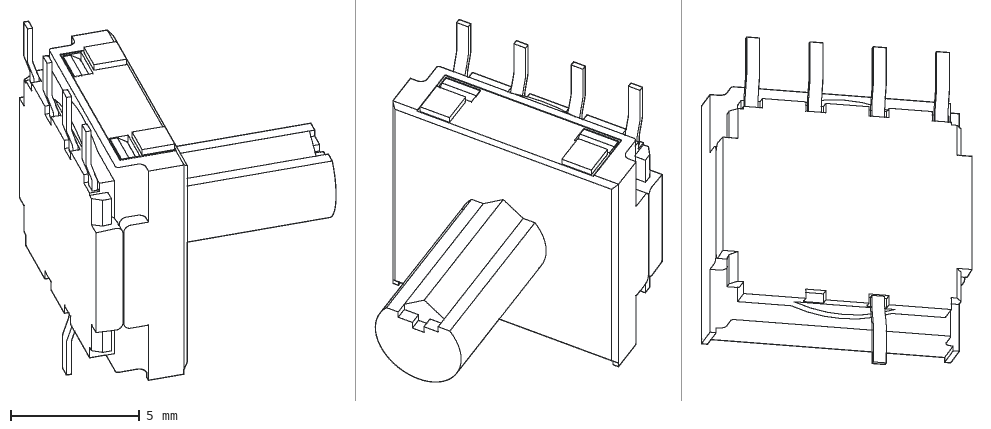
import cadquery as cq


HOUSING_HALF_X = 5.005
HOUSING_HALF_Z = 4.8
HOUSING_REAR_Y = 1.01
HOUSING_FRONT_Y = 3.8
FRONT_CHAMFER = 0.2
CHAMFER_START_Y = HOUSING_FRONT_Y - FRONT_CHAMFER
NECK_HALF_X = 4.41
NOTCH_FRONT_Y = 2.145
NOTCH_RADIUS = 0.28
REAR_EDGE_RADIUS = 0.12
EAR_WIDTH = 0.25
EAR_END_Z = 5.0

WING_RADIUS = 0.28
HOUSING_WING_HALF_Z = 2.41
HOUSING_WING_REAR_Y = 1.14
BASE_WING_FRONT_Y = 1.10
BASE_WING_HALF_Z = 2.38
BASE_WING_REAR_HALF_Z = 2.335

PANEL_HALF_X = 3.91
PANEL_REAR_Y = 1.33
PANEL_DEPTH = 0.035
PANEL_Z = HOUSING_HALF_Z - PANEL_DEPTH
TAB_INNER_X = 2.49
TAB_OUTER_X = 3.80
TAB_REAR_Y = 2.265
TAB_TOP_Z = 5.02
WINDOW_INNER_X = 2.29
WINDOW_OUTER_X = 3.83
WINDOW_REAR_Y = 1.41
WINDOW_RAMP_Y = 1.73
WINDOW_RAMP_END_Y = 2.125
WINDOW_FRONT_Y = 2.165
WINDOW_SILL_DEPTH = 0.04
WINDOW_RAMP_DROP = 0.26
WINDOW_GAP_DEPTH = 0.1

SHAFT_DIAMETER = 3.81
SHAFT_RADIUS = SHAFT_DIAMETER / 2
SHAFT_LENGTH = 7.0
SHAFT_END_Y = HOUSING_FRONT_Y + SHAFT_LENGTH
SHAFT_FLAT_Z = 1.288
KEY_HALF_X = 0.885
KEY_SETBACK = 0.5
KEY_END_Y = SHAFT_END_Y - KEY_SETBACK
END_GROOVE_DEPTH = 0.28
END_SLOT_HALF_X = 0.255
END_SLOT_DEPTH = 0.3

BASE_HALF_X = 4.17
BASE_HALF_Z = 4.05
POST_HALF_X = 4.655
POST_HALF_Z = 3.56
POST_FRONT_Y = 0.745
POST_CHAMFER_X = 0.255
POST_CHAMFER_Y = 0.38
DISC_HALF_CHORD = 2.02
DISC_RISE = 0.37
DISC_REAR_Y = 0.51

TERMINAL_PITCH = 2.54
TERMINAL_WIDTH = 0.52
TERMINAL_THICKNESS = 0.21
TERMINAL_END_Z = 6.5
TERMINAL_ROOT_Y = 0.14
TERMINAL_TIP_Y = -0.12
BEND_START_Z = 4.16
BEND_END_Z = 4.93
BEND_RADIUS = 0.5
POCKET_WIDTH = 0.8
POCKET_DEPTH_Y = 0.4
POCKET_FLOOR_Z = 3.67
TOP_TERMINALS_X = [(i - 1.5) * TERMINAL_PITCH for i in range(4)]
BOTTOM_TERMINAL_X = TERMINAL_PITCH / 2
BOTTOM_POCKETS_X = [-BOTTOM_TERMINAL_X, BOTTOM_TERMINAL_X]


def box(x0, x1, y0, y1, z0, z1):
    """Block between two opposite corners."""
    size = (x1 - x0, y1 - y0, z1 - z0)
    return cq.Workplane("XY").box(*size, centered=False).translate((x0, y0, z0))


def mirrored_x(body):
    """The body together with its mirror copy at -X."""
    return body.union(body.mirror("YZ"))


def wing_outline(plane, start_y, edge_y, edge_half_z, start_half_z):
    """Outline of a side wing that starts at start_y and has both corners at edge_y rounded."""
    inward = 1 if start_y > edge_y else -1
    tangent_y = edge_y + inward * WING_RADIUS
    flat_half_z = edge_half_z - WING_RADIUS
    radius = inward * WING_RADIUS
    return (
        plane.moveTo(start_y, -start_half_z)
        .lineTo(tangent_y, -edge_half_z)
        .radiusArc((edge_y, -flat_half_z), radius)
        .lineTo(edge_y, flat_half_z)
        .radiusArc((tangent_y, edge_half_z), radius)
        .lineTo(start_y, start_half_z)
        .close()
    )


def make_shaft():
    rod = (
        cq.Workplane("XZ", origin=(0, HOUSING_FRONT_Y, 0))
        .circle(SHAFT_RADIUS)
        .extrude(-SHAFT_LENGTH)
    )
    above_flat = box(
        -SHAFT_RADIUS, SHAFT_RADIUS, HOUSING_FRONT_Y, SHAFT_END_Y, SHAFT_FLAT_Z, SHAFT_DIAMETER
    )
    groove_z = SHAFT_FLAT_Z - END_GROOVE_DEPTH
    end_groove = box(-KEY_HALF_X, KEY_HALF_X, KEY_END_Y, SHAFT_END_Y, groove_z, SHAFT_DIAMETER)
    end_slot = box(
        -END_SLOT_HALF_X, END_SLOT_HALF_X, KEY_END_Y, SHAFT_END_Y, groove_z - END_SLOT_DEPTH, groove_z
    )
    key = (
        cq.Workplane("XZ", origin=(0, HOUSING_FRONT_Y, 0))
        .polyline([(-KEY_HALF_X, SHAFT_FLAT_Z), (KEY_HALF_X, SHAFT_FLAT_Z), (0, SHAFT_RADIUS)])
        .close()
        .extrude(HOUSING_FRONT_Y - KEY_END_Y)
    )
    return rod.cut(above_flat).cut(end_groove).cut(end_slot).union(key)


def housing_core():
    """Chamfered plate with notched, rounded rear corners."""
    plate = box(
        -HOUSING_HALF_X, HOUSING_HALF_X, NOTCH_FRONT_Y, HOUSING_FRONT_Y, -HOUSING_HALF_Z, HOUSING_HALF_Z
    )
    neck = box(
        -NECK_HALF_X, NECK_HALF_X, HOUSING_REAR_Y, NOTCH_FRONT_Y, -HOUSING_HALF_Z, HOUSING_HALF_Z
    )
    notch_corner = cq.selectors.BoxSelector(
        (-NECK_HALF_X - REAR_EDGE_RADIUS, NOTCH_FRONT_Y - REAR_EDGE_RADIUS, -HOUSING_HALF_Z),
        (NECK_HALF_X + REAR_EDGE_RADIUS, NOTCH_FRONT_Y + REAR_EDGE_RADIUS, HOUSING_HALF_Z),
    )
    core = plate.faces(">Y").chamfer(FRONT_CHAMFER).union(neck)
    core = core.edges("|Z").edges(notch_corner).fillet(NOTCH_RADIUS)
    return core.faces("<Y").edges("|Z").fillet(REAR_EDGE_RADIUS)


def housing_wing():
    inner_x = NECK_HALF_X - REAR_EDGE_RADIUS
    outline = wing_outline(
        cq.Workplane("YZ", origin=(inner_x, 0, 0)),
        CHAMFER_START_Y,
        HOUSING_WING_REAR_Y,
        HOUSING_WING_HALF_Z,
        HOUSING_WING_HALF_Z,
    )
    return outline.extrude(HOUSING_HALF_X - inner_x)


def housing_ear():
    """Corner ear that reaches below the plate."""
    return box(
        HOUSING_HALF_X - EAR_WIDTH, HOUSING_HALF_X, NOTCH_FRONT_Y, CHAMFER_START_Y, -EAR_END_Z, 0
    )


def panel_tab():
    return box(TAB_INNER_X, TAB_OUTER_X, TAB_REAR_Y, CHAMFER_START_Y, 0, TAB_TOP_Z)


def panel_window():
    """Window cutter: a shallow sill, a descending ramp and a narrow gap at the front wall."""
    sill_z = PANEL_Z - WINDOW_SILL_DEPTH
    ramp_end_z = sill_z - WINDOW_RAMP_DROP
    gap_floor_z = ramp_end_z - WINDOW_GAP_DEPTH
    return (
        cq.Workplane("YZ", origin=(WINDOW_INNER_X, 0, 0))
        .moveTo(WINDOW_REAR_Y, HOUSING_HALF_Z)
        .lineTo(WINDOW_REAR_Y, sill_z)
        .lineTo(WINDOW_RAMP_Y, sill_z)
        .lineTo(WINDOW_RAMP_END_Y, ramp_end_z)
        .lineTo(WINDOW_RAMP_END_Y, gap_floor_z)
        .lineTo(WINDOW_FRONT_Y, gap_floor_z)
        .lineTo(WINDOW_FRONT_Y, HOUSING_HALF_Z)
        .close()
        .extrude(WINDOW_OUTER_X - WINDOW_INNER_X)
    )


def make_housing():
    panel_recess = box(
        -PANEL_HALF_X, PANEL_HALF_X, PANEL_REAR_Y, HOUSING_FRONT_Y, PANEL_Z, HOUSING_HALF_Z
    )
    body = housing_core().union(mirrored_x(housing_wing())).union(mirrored_x(housing_ear()))
    body = body.cut(panel_recess).cut(mirrored_x(panel_window()))
    return body.union(mirrored_x(panel_tab()))


def base_post():
    """Corner posts of one side, sloped towards the rear face."""
    return (
        cq.Workplane("XY", origin=(0, 0, -POST_HALF_Z))
        .moveTo(0, 0)
        .lineTo(POST_HALF_X - POST_CHAMFER_X, 0)
        .lineTo(POST_HALF_X, POST_CHAMFER_Y)
        .lineTo(POST_HALF_X, POST_FRONT_Y)
        .lineTo(0, POST_FRONT_Y)
        .close()
        .extrude(2 * POST_HALF_Z)
    )


def base_wing():
    outline = wing_outline(
        cq.Workplane("YZ"), 0, BASE_WING_FRONT_Y, BASE_WING_HALF_Z, BASE_WING_REAR_HALF_Z
    )
    return outline.extrude(HOUSING_HALF_X)


def base_disc():
    """Disc segments that bulge out of the top and bottom of the block."""
    crown_z = BASE_HALF_Z + DISC_RISE
    return (
        cq.Workplane("XZ", origin=(0, DISC_REAR_Y, 0))
        .moveTo(-DISC_HALF_CHORD, -BASE_HALF_Z)
        .threePointArc((0, -crown_z), (DISC_HALF_CHORD, -BASE_HALF_Z))
        .lineTo(DISC_HALF_CHORD, BASE_HALF_Z)
        .threePointArc((0, crown_z), (-DISC_HALF_CHORD, BASE_HALF_Z))
        .close()
        .extrude(DISC_REAR_Y - HOUSING_REAR_Y)
    )


def terminal_pocket(x):
    """Pocket cutter for a terminal on the top side."""
    half = POCKET_WIDTH / 2
    return box(x - half, x + half, 0, POCKET_DEPTH_Y, POCKET_FLOOR_Z, BASE_HALF_Z)


def terminal(x):
    """Cranked flat terminal that rises from the floor of its pocket."""
    rear_side = [
        (TERMINAL_ROOT_Y, POCKET_FLOOR_Z),
        (TERMINAL_ROOT_Y, BEND_START_Z),
        (TERMINAL_TIP_Y, BEND_END_Z),
        (TERMINAL_TIP_Y, TERMINAL_END_Z),
    ]
    front_side = [(y + TERMINAL_THICKNESS, z) for y, z in reversed(rear_side)]
    strip = (
        cq.Workplane("YZ", origin=(x - TERMINAL_WIDTH / 2, 0, 0))
        .polyline(rear_side + front_side)
        .close()
        .extrude(TERMINAL_WIDTH)
    )
    bends = cq.selectors.BoxSelector(
        (x - TERMINAL_WIDTH, TERMINAL_TIP_Y - TERMINAL_WIDTH, BEND_START_Z - TERMINAL_THICKNESS),
        (x + TERMINAL_WIDTH, TERMINAL_ROOT_Y + TERMINAL_WIDTH, BEND_END_Z + TERMINAL_THICKNESS),
    )
    return strip.edges("|X").edges(bends).fillet(BEND_RADIUS)


def make_base(housing):
    body = box(-BASE_HALF_X, BASE_HALF_X, 0, HOUSING_REAR_Y, -BASE_HALF_Z, BASE_HALF_Z)
    body = body.union(mirrored_x(base_post())).union(mirrored_x(base_wing())).union(base_disc())
    for x in TOP_TERMINALS_X:
        body = body.cut(terminal_pocket(x))
    for x in BOTTOM_POCKETS_X:
        body = body.cut(terminal_pocket(x).mirror("XY"))
    body = body.cut(housing)
    for x in TOP_TERMINALS_X:
        body = body.union(terminal(x))
    return body.union(terminal(BOTTOM_TERMINAL_X).mirror("XY"))


shaft = make_shaft()
housing = make_housing()
base = make_base(housing)

result = cq.Compound.makeCompound([shaft.val(), housing.val(), base.val()])